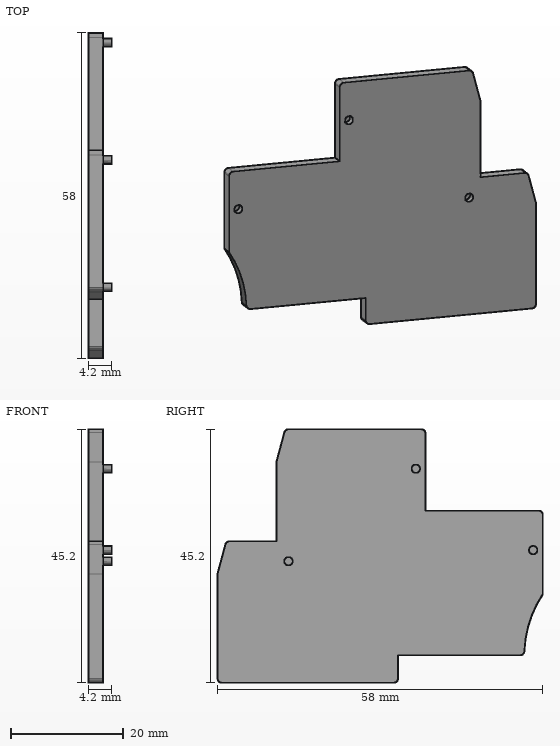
import cadquery as cq
import math

LENGTH = 58.0
HEIGHT = 45.2
PLATE_THICKNESS = 2.6
PIN_LENGTH = 1.6

REAR_SHOULDER_Y = LENGTH - 20.9
REAR_SHOULDER_Z = 30.7
FRONT_SHOULDER_Y = 10.5
FRONT_SHOULDER_Z = 25.25
FOOT_Y = LENGTH - 25.8
FOOT_HEIGHT = 4.9

SLOPE_ANGLE = 15.0
SLOPE_HEIGHT = 5.8
SLOPE_DEPTH = SLOPE_HEIGHT * math.tan(math.radians(SLOPE_ANGLE))

RELIEF_DEPTH = 3.3
RELIEF_HEIGHT = 10.9
RELIEF_RADIUS = (RELIEF_DEPTH**2 + RELIEF_HEIGHT**2) / (2 * RELIEF_DEPTH)

CORNER_RADIUS = 0.8

PIN_DIAMETER = 1.5
SOCKET_DIAMETER = PIN_DIAMETER
SOCKET_DEPTH = PIN_LENGTH
PIN_INSET_Y = 1.75
PIN_DROP_Z = 7.05
FRONT_PIN_Y = 12.65
FRONT_PIN_Z = 21.67
PIN_CENTRES = [
    (REAR_SHOULDER_Y - PIN_INSET_Y, HEIGHT - PIN_DROP_Z),
    (LENGTH - PIN_INSET_Y, REAR_SHOULDER_Z - PIN_DROP_Z),
    (FRONT_PIN_Y, FRONT_PIN_Z),
]


def make_plate():
    """Stepped plate with its outward corners rounded."""
    relief_y = LENGTH - RELIEF_DEPTH
    relief_top_z = FOOT_HEIGHT + RELIEF_HEIGHT
    half_sweep = math.asin(RELIEF_HEIGHT / RELIEF_RADIUS) / 2
    relief_mid = (
        relief_y + RELIEF_RADIUS * (1 - math.cos(half_sweep)),
        FOOT_HEIGHT + RELIEF_RADIUS * math.sin(half_sweep),
    )
    plate = (
        cq.Workplane("YZ")
        .moveTo(0, 0)
        .lineTo(FOOT_Y, 0)
        .lineTo(FOOT_Y, FOOT_HEIGHT)
        .lineTo(relief_y, FOOT_HEIGHT)
        .threePointArc(relief_mid, (LENGTH, relief_top_z))
        .lineTo(LENGTH, REAR_SHOULDER_Z)
        .lineTo(REAR_SHOULDER_Y, REAR_SHOULDER_Z)
        .lineTo(REAR_SHOULDER_Y, HEIGHT)
        .lineTo(FRONT_SHOULDER_Y + SLOPE_DEPTH, HEIGHT)
        .lineTo(FRONT_SHOULDER_Y, HEIGHT - SLOPE_HEIGHT)
        .lineTo(FRONT_SHOULDER_Y, FRONT_SHOULDER_Z)
        .lineTo(SLOPE_DEPTH, FRONT_SHOULDER_Z)
        .lineTo(0, FRONT_SHOULDER_Z - SLOPE_HEIGHT)
        .close()
        .extrude(PLATE_THICKNESS)
    )
    rounded_corners = [
        (0, 0),
        (FOOT_Y, 0),
        (relief_y, FOOT_HEIGHT),
        (LENGTH, REAR_SHOULDER_Z),
        (REAR_SHOULDER_Y, HEIGHT),
        (FRONT_SHOULDER_Y + SLOPE_DEPTH, HEIGHT),
        (SLOPE_DEPTH, FRONT_SHOULDER_Z),
    ]
    for y, z in rounded_corners:
        corner_edge = cq.selectors.NearestToPointSelector((PLATE_THICKNESS / 2, y, z))
        plate = plate.edges("|X").edges(corner_edge).fillet(CORNER_RADIUS)
    return plate


def make_cylinders(start_x, diameter, length):
    """Cylinders along +X from start_x, one on each pin axis."""
    return (
        cq.Workplane("YZ", origin=(start_x, 0, 0))
        .pushPoints(PIN_CENTRES)
        .circle(diameter / 2)
        .extrude(length)
    )


pins = make_cylinders(PLATE_THICKNESS, PIN_DIAMETER, PIN_LENGTH)
sockets = make_cylinders(0, SOCKET_DIAMETER, SOCKET_DEPTH)
result = make_plate().union(pins).cut(sockets)